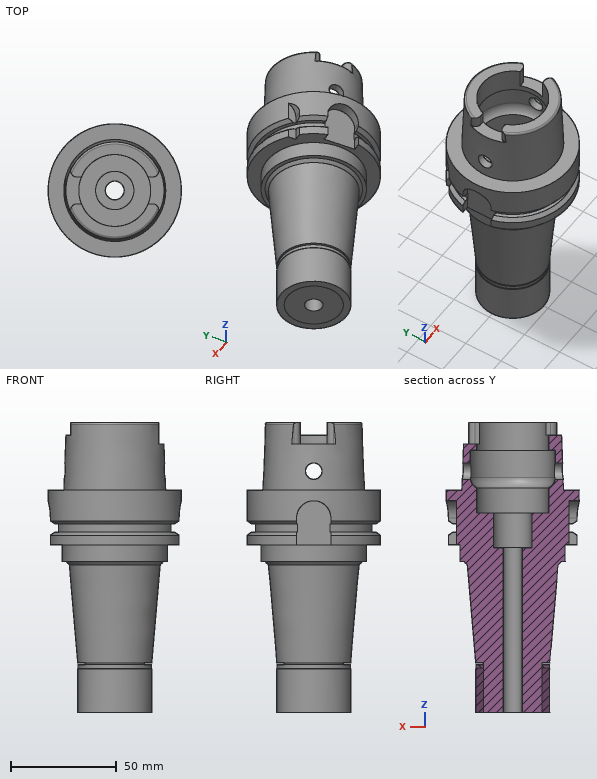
import cadquery as cq
import math

total_length = 137.0
bore_radius = 4.4

neck_radius = 14.0
nut_radius = 17.5
nut_top = 20.8
nut_chamfer = 0.3
ring_radius = 17.4
ring_top = 22.6

taper_bottom = 23.4
taper_bottom_radius = 17.5
taper_top = 69.7
taper_top_radius = 21.5
collar_radius = 25.0
collar_bottom = 71.2
collar_chamfer_radius = 23.0

flange_radius = 31.5
flange_bottom = 79.2
flange_top = 105.1
groove_radius = 27.7
groove_bottom = 85.2
groove_top = 89.0
groove_chamfer_height = 1.5
groove_mouth_radius = 29.5

shank_base_radius = 24.1
shank_top_radius = 22.9
shank_edge_fillet = 1.0
mouth_radius = 17.0
mouth_depth = 13.2
chamber_radius = 20.0
chamber_bottom = 111.0
chamber_rounding = 5.5
cavity_floor = 94.3
counterbore_radius = 9.0
counterbore_depth = 16.5
cross_hole_radius = 3.8
cross_hole_z = 114.0

drive_slot_half_width = 6.3
drive_slot_corner_radius = 3.0
rim_flat_x = 20.8
left_slot_floor = 131.0
right_slot_floor = 126.9

keyway_half_width = 8.1
keyway_flat_x = 26.6
keyway_arch_z = 91.9
notch_flat_x = 20.4
notch_wall_y = 20.0
notch_arch_z = 92.9

OUTER_RIM = cq.selectors.RadiusNthSelector(-1)


def holder_blank():
    """Revolve the solid outer shape of the holder."""
    profile = [
        (0, 0),
        (neck_radius, 0),
        (neck_radius, taper_bottom),
        (taper_bottom_radius, taper_bottom),
        (taper_top_radius, taper_top),
        (collar_chamfer_radius, collar_bottom),
        (collar_radius, collar_bottom),
        (collar_radius, flange_bottom),
        (flange_radius, flange_bottom),
        (flange_radius, groove_bottom - groove_chamfer_height),
        (groove_mouth_radius, groove_bottom),
        (groove_radius, groove_bottom),
        (groove_radius, groove_top),
        (groove_mouth_radius, groove_top),
        (flange_radius, groove_top + groove_chamfer_height),
        (flange_radius, flange_top),
        (shank_base_radius, flange_top),
        (shank_top_radius, total_length),
        (0, total_length),
    ]
    blank = cq.Workplane("XZ").polyline(profile).close().revolve(360, (0, 0), (0, 1))
    return blank.faces(">Z").edges(OUTER_RIM).fillet(shank_edge_fillet)


def cylinder(radius, bottom, top):
    return cq.Workplane("XY").workplane(offset=bottom).circle(radius).extrude(top - bottom)


def cavity():
    """Stepped hollow: mouth, wider chamber with a rounded bottom, counterbore and through bore."""
    chamber_top = total_length - mouth_depth
    counterbore_bottom = cavity_floor - counterbore_depth
    rounding_center = chamber_radius - chamber_rounding
    end_angle = math.acos((mouth_radius - rounding_center) / chamber_rounding)
    arc_end_z = chamber_bottom - chamber_rounding * math.sin(end_angle)
    arc_middle_radius = rounding_center + chamber_rounding * math.cos(end_angle / 2)
    arc_middle_z = chamber_bottom - chamber_rounding * math.sin(end_angle / 2)
    outline = (
        cq.Workplane("XZ")
        .moveTo(0, 0)
        .lineTo(bore_radius, 0)
        .lineTo(bore_radius, counterbore_bottom)
        .lineTo(counterbore_radius, counterbore_bottom)
        .lineTo(counterbore_radius, cavity_floor)
        .lineTo(mouth_radius, cavity_floor)
        .lineTo(mouth_radius, arc_end_z)
        .threePointArc((arc_middle_radius, arc_middle_z), (chamber_radius, chamber_bottom))
        .lineTo(chamber_radius, chamber_top)
        .lineTo(mouth_radius, chamber_top)
        .lineTo(mouth_radius, total_length)
        .lineTo(0, total_length)
        .close()
    )
    return outline.revolve(360, (0, 0), (0, 1))


def drive_slot(side, floor):
    """Slot through the rim on one X side, opening with rounded corners onto a flat across the rim."""
    half = drive_slot_half_width
    radius = drive_slot_corner_radius
    arc_start_x = rim_flat_x - radius
    arc_end_y = half + radius
    arc_middle_x = arc_start_x + radius * math.sin(math.pi / 4)
    arc_middle_y = arc_end_y - radius * math.cos(math.pi / 4)
    outline = (
        cq.Workplane("XY").workplane(offset=floor)
        .moveTo(0, -half)
        .lineTo(arc_start_x, -half)
        .threePointArc((arc_middle_x, -arc_middle_y), (rim_flat_x, -arc_end_y))
        .lineTo(rim_flat_x, -shank_base_radius)
        .lineTo(flange_radius, -shank_base_radius)
        .lineTo(flange_radius, shank_base_radius)
        .lineTo(rim_flat_x, shank_base_radius)
        .lineTo(rim_flat_x, arc_end_y)
        .threePointArc((arc_middle_x, arc_middle_y), (arc_start_x, half))
        .lineTo(0, half)
        .close()
    )
    slot = outline.extrude(total_length - floor)
    return slot if side > 0 else slot.mirror("YZ")


def arched_cut(flat_x, center_y, arch_z):
    """Keyway cutter running out along +X from a flat, with a round upper end."""
    length = flange_radius - flat_x
    height = arch_z - flange_bottom
    straight = (
        cq.Workplane("YZ").workplane(offset=flat_x)
        .center(center_y, flange_bottom + height / 2).rect(2 * keyway_half_width, height)
    )
    arch = (
        cq.Workplane("YZ").workplane(offset=flat_x)
        .center(center_y, arch_z).circle(keyway_half_width)
    )
    return straight.extrude(length).union(arch.extrude(length))


def make_holder():
    holder = holder_blank().cut(cavity())
    holder = holder.cut(drive_slot(-1, left_slot_floor)).cut(drive_slot(1, right_slot_floor))

    cross_hole = (
        cq.Workplane("YZ").center(0, cross_hole_z).circle(cross_hole_radius)
        .extrude(flange_radius, both=True)
    )
    holder = holder.cut(cross_hole)

    keyway = arched_cut(keyway_flat_x, 0, keyway_arch_z)
    notch = arched_cut(notch_flat_x, notch_wall_y + keyway_half_width, notch_arch_z)
    return holder.cut(keyway).cut(keyway.mirror("YZ")).cut(notch.mirror("YZ"))


def make_sleeve(radius, bottom, top):
    """Plain sleeve fitting around the neck."""
    return cylinder(radius, bottom, top).cut(cylinder(neck_radius, bottom, top))


def make_nut():
    """Sleeve at the lower end with its upper outer edge chamfered."""
    nut = make_sleeve(nut_radius, 0, nut_top)
    return nut.faces(">Z").edges(OUTER_RIM).chamfer(nut_chamfer)


holder = make_holder()
ring = make_sleeve(ring_radius, nut_top, ring_top)
nut = make_nut()

result = cq.Compound.makeCompound([holder.val(), ring.val(), nut.val()])